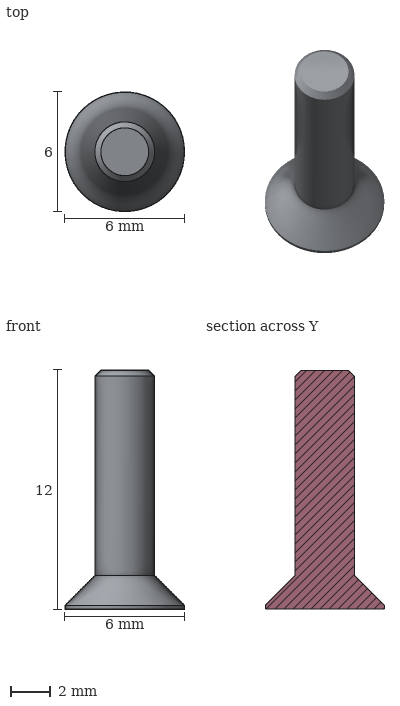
import cadquery as cq

total_length = 12.0
shank_diameter = 3.0
head_diameter = 6.0
rim_height = 0.2
tip_chamfer_width = 0.3
tip_chamfer_height = 0.3

shank_radius = shank_diameter / 2
head_radius = head_diameter / 2
cone_height = head_radius - shank_radius
head_height = rim_height + cone_height
tip_radius = shank_radius - tip_chamfer_width

half_section = (
    cq.Workplane("XZ")
    .lineTo(head_radius, 0)
    .lineTo(head_radius, rim_height)
    .lineTo(shank_radius, head_height)
    .lineTo(shank_radius, total_length - tip_chamfer_height)
    .lineTo(tip_radius, total_length)
    .lineTo(0, total_length)
    .close()
)

result = half_section.revolve(360, (0, 0, 0), (0, 1, 0))